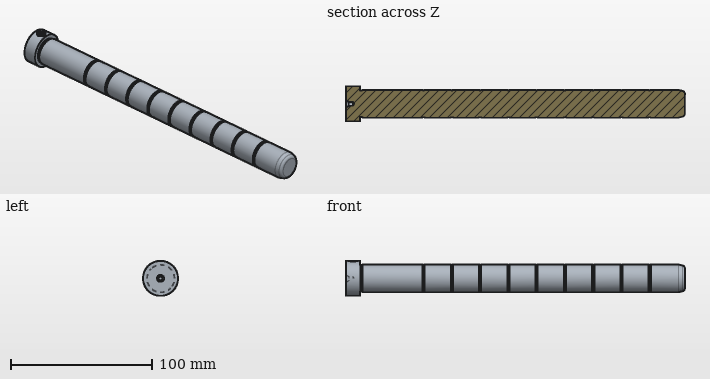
import cadquery as cq
import math

total_length = 240.0
head_diameter = 25.0
head_length = 10.0
shaft_diameter = 20.0
head_radius = head_diameter / 2
shaft_radius = shaft_diameter / 2

undercut_depth = 0.5
undercut_floor_width = 1.2
undercut_flank_width = 0.7

groove_count = 9
groove_pitch = total_length / 12
first_groove_x = 55.0
groove_width = 2.0
groove_depth = 0.5

lead_in_length = 4.8
lead_in_depth = 1.2
tip_rounding_radius = 2.5

mark_ring_outer_diameter = 6.5
mark_ring_inner_diameter = 5.0
mark_centre_diameter = 2.6
mark_depth = 0.2

centre_hole_diameter = 2.6
centre_hole_countersink_diameter = 5.0
centre_hole_countersink_angle = 60
centre_hole_depth = 4.8

drill_point_angle = 118


def cone_height(diameter, full_angle):
    """Height of a cone with the given base diameter and full apex angle."""
    return diameter / 2 / math.tan(math.radians(full_angle / 2))


def pin_body():
    """Head, undercut, grooved shaft and lead-in, revolved about X."""
    undercut_radius = shaft_radius - undercut_depth
    undercut_floor_end = head_length + undercut_floor_width
    profile = (
        cq.Workplane("XY")
        .lineTo(0, head_radius)
        .lineTo(head_length, head_radius)
        .lineTo(head_length, undercut_radius)
        .lineTo(undercut_floor_end, undercut_radius)
        .lineTo(undercut_floor_end + undercut_flank_width, shaft_radius)
    )
    for i in range(groove_count):
        groove_x = first_groove_x + i * groove_pitch
        profile = (
            profile.lineTo(groove_x - groove_width / 2, shaft_radius)
            .lineTo(groove_x, shaft_radius - groove_depth)
            .lineTo(groove_x + groove_width / 2, shaft_radius)
        )
    body = (
        profile.lineTo(total_length - lead_in_length, shaft_radius)
        .lineTo(total_length, shaft_radius - lead_in_depth)
        .lineTo(total_length, 0)
        .close()
        .revolve(360, (0, 0, 0), (1, 0, 0))
    )
    return body.faces(">X").edges().fillet(tip_rounding_radius)


def centre_drill():
    """Cutter entering the outer face of the head: countersink, pilot and drill point."""
    radius = centre_hole_diameter / 2
    countersink_radius = centre_hole_countersink_diameter / 2
    countersink_depth = cone_height(
        centre_hole_countersink_diameter - centre_hole_diameter, centre_hole_countersink_angle
    )
    point_depth = centre_hole_depth + cone_height(centre_hole_diameter, drill_point_angle)
    return (
        cq.Workplane("XY")
        .lineTo(0, countersink_radius)
        .lineTo(countersink_depth, radius)
        .lineTo(centre_hole_depth, radius)
        .lineTo(point_depth, 0)
        .close()
        .revolve(360, (0, 0, 0), (1, 0, 0))
    )


def head_mark():
    """Cutter for the ring and its central recess, their floors following the curve of the head."""
    ring = (
        cq.Workplane("XY")
        .circle(mark_ring_outer_diameter / 2)
        .circle(mark_ring_inner_diameter / 2)
        .extrude(head_radius)
    )
    centre = cq.Workplane("XY").circle(mark_centre_diameter / 2).extrude(head_radius)
    core = cq.Workplane("YZ").circle(head_radius - mark_depth).extrude(head_length)
    return ring.union(centre).translate((head_length / 2, 0, 0)).cut(core)


result = pin_body().cut(centre_drill()).cut(head_mark())